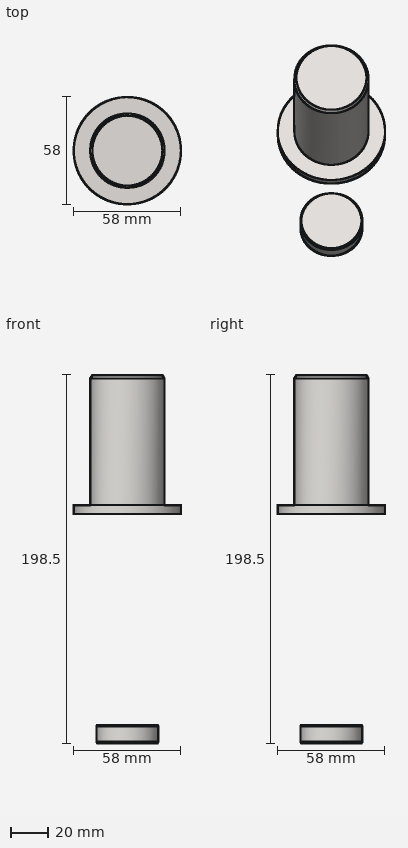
import cadquery as cq

TOTAL_HEIGHT = 198.5
TOP_Z = TOTAL_HEIGHT / 2
BOTTOM_Z = -TOTAL_HEIGHT / 2

FLANGE_DIAMETER = 58.0
FLANGE_THICKNESS = 5.0
PIN_DIAMETER = 40.0
PIN_HEIGHT = 75.0
PIN_CHAMFER_WIDTH = 1.2
PIN_CHAMFER_HEIGHT = 2.0

DISC_DIAMETER = 33.5
DISC_THICKNESS = 10.0
DISC_CHAMFER_WIDTH = 0.5
DISC_CHAMFER_HEIGHT = 1.0


def make_flanged_pin():
    """Round pin standing on a thin flange, with its top rim chamfered."""
    flange_bottom_z = TOP_Z - PIN_HEIGHT
    shank = (
        cq.Workplane("XY", origin=(0, 0, flange_bottom_z))
        .circle(PIN_DIAMETER / 2)
        .extrude(PIN_HEIGHT)
        .faces(">Z")
        .chamfer(PIN_CHAMFER_HEIGHT, PIN_CHAMFER_WIDTH)
    )
    flange = (
        cq.Workplane("XY", origin=(0, 0, flange_bottom_z))
        .circle(FLANGE_DIAMETER / 2)
        .extrude(FLANGE_THICKNESS)
    )
    return shank.union(flange)


def make_disc():
    """Flat disc with both rims chamfered."""
    rim_radius = DISC_DIAMETER / 2
    face_radius = rim_radius - DISC_CHAMFER_WIDTH
    half_profile = [
        (0, 0),
        (face_radius, 0),
        (rim_radius, DISC_CHAMFER_HEIGHT),
        (rim_radius, DISC_THICKNESS - DISC_CHAMFER_HEIGHT),
        (face_radius, DISC_THICKNESS),
        (0, DISC_THICKNESS),
    ]
    return (
        cq.Workplane("XZ", origin=(0, 0, BOTTOM_Z))
        .polyline(half_profile)
        .close()
        .revolve(360, (0, 0), (0, 1))
    )


flanged_pin = make_flanged_pin()
disc = make_disc()

result = cq.Compound.makeCompound([flanged_pin.val(), disc.val()])